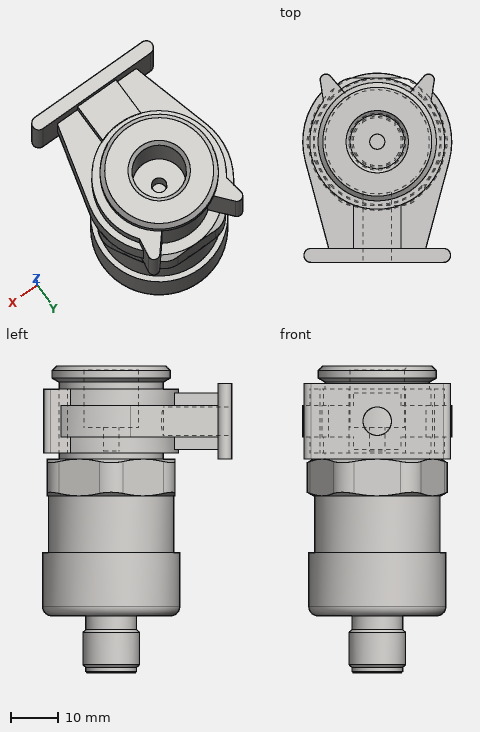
import cadquery as cq
import math

total_height = 64.8

connector_dia = 12.0
connector_neck_dia = 10.77
connector_tip_length = 1.1
connector_end_chamfer = 0.3
connector_lower_bevel = 0.6
connector_upper_z = 8.5
housing_bottom_z = 12.0
connector_bevel = (connector_dia - connector_neck_dia) / 2

housing_dia = 29.0
housing_fillet = 2.0
housing_top_z = 25.35
sleeve_dia = 26.5

hex_sides = 6
hex_bottom_z = 37.35
hex_height = 7.75
hex_top_z = hex_bottom_z + hex_height
hex_across_flats = 27.0
hex_corner_radius = 5.0
hex_bevel_angle = 30.0

stem_dia = 22.0
flange_dia = 25.0
flange_top_bevel = 1.0
flange_rim_height = 1.6
flange_underside_angle = 30.0

bore_dia = 11.45
bore_mouth_dia = 13.16
bore_depth = 13.0
pressure_hole_dia = 3.2
pressure_hole_depth = 5.0

clip_mid_z = 53.1
ring_dia = 28.5
ring_height = 13.5
cheek_dia = 31.5
cheek_height = 6.7
cheek_taper_angle = 15.0
rib_width = 10.0
rib_height = 12.0

plate_width = 31.0
plate_thickness = 3.0
plate_height = 16.0
plate_front_y = -25.5
plate_back_y = plate_front_y + plate_thickness
plate_hole_dia = 6.0

lug_tip_radius = 1.25
lug_outer_root_x = 11.36
lug_outer_angle = 9.2
lug_inner_angle = 40.3
lug_inner_root_x = 5.96


def disc_y(radius, x):
    """Y of the point at the given X on a circle round the Z axis."""
    return math.sqrt(radius ** 2 - x ** 2)


def clip_prism(sketch, height):
    """Extrude an XY outline equally above and below the middle of the clip."""
    return sketch.extrude(height / 2, both=True).translate((0, 0, clip_mid_z))


def make_turned_body():
    flange_top_radius = flange_dia / 2 - flange_top_bevel
    rim_top_z = total_height - flange_top_bevel
    rim_bottom_z = rim_top_z - flange_rim_height
    underside_drop = (flange_dia - stem_dia) / 2 * math.tan(math.radians(flange_underside_angle))
    connector_lower_z = connector_tip_length + connector_lower_bevel
    corner_offset = housing_fillet * (1 - math.sqrt(0.5))
    housing_radius = housing_dia / 2
    return (
        cq.Workplane("XZ")
        .lineTo(connector_neck_dia / 2 - connector_end_chamfer, 0)
        .lineTo(connector_neck_dia / 2, connector_end_chamfer)
        .lineTo(connector_neck_dia / 2, connector_tip_length)
        .lineTo(connector_dia / 2, connector_lower_z)
        .lineTo(connector_dia / 2, connector_upper_z)
        .lineTo(connector_neck_dia / 2, connector_upper_z + connector_bevel)
        .lineTo(connector_neck_dia / 2, housing_bottom_z)
        .lineTo(housing_radius - housing_fillet, housing_bottom_z)
        .threePointArc(
            (housing_radius - corner_offset, housing_bottom_z + corner_offset),
            (housing_radius, housing_bottom_z + housing_fillet),
        )
        .lineTo(housing_radius, housing_top_z)
        .lineTo(sleeve_dia / 2, housing_top_z)
        .lineTo(sleeve_dia / 2, hex_bottom_z)
        .lineTo(stem_dia / 2, hex_bottom_z)
        .lineTo(stem_dia / 2, rim_bottom_z - underside_drop)
        .lineTo(flange_dia / 2, rim_bottom_z)
        .lineTo(flange_dia / 2, rim_top_z)
        .lineTo(flange_top_radius, total_height)
        .lineTo(0, total_height)
        .close()
        .revolve(360, (0, 0, 0), (0, 1, 0))
    )


def make_hexagon():
    """Hexagon with flats facing +Y and -Y, rounded corners and bevelled ends."""
    across_corners = hex_across_flats / math.cos(math.radians(180 / hex_sides))
    prism = (
        cq.Workplane("XY", origin=(0, 0, hex_bottom_z))
        .polygon(hex_sides, across_corners)
        .extrude(hex_height)
        .edges("|Z")
        .fillet(hex_corner_radius)
    )
    end_radius = hex_across_flats / 2
    outer_radius = across_corners / 2
    bevel_height = (outer_radius - end_radius) * math.tan(math.radians(hex_bevel_angle))
    bevel_envelope = (
        cq.Workplane("XZ")
        .moveTo(0, hex_bottom_z)
        .lineTo(end_radius, hex_bottom_z)
        .lineTo(outer_radius, hex_bottom_z + bevel_height)
        .lineTo(outer_radius, hex_top_z - bevel_height)
        .lineTo(end_radius, hex_top_z)
        .lineTo(0, hex_top_z)
        .close()
        .revolve(360, (0, 0, 0), (0, 1, 0))
    )
    return prism.intersect(bevel_envelope)


def make_bore():
    """Bore from the top with a 45 degree mouth and a small hole in its floor."""
    mouth_depth = (bore_mouth_dia - bore_dia) / 2
    floor_z = total_height - bore_depth
    hole_end_z = floor_z - pressure_hole_depth
    return (
        cq.Workplane("XZ")
        .moveTo(0, total_height)
        .lineTo(bore_mouth_dia / 2, total_height)
        .lineTo(bore_dia / 2, total_height - mouth_depth)
        .lineTo(bore_dia / 2, floor_z)
        .lineTo(pressure_hole_dia / 2, floor_z)
        .lineTo(pressure_hole_dia / 2, hole_end_z)
        .lineTo(0, hole_end_z)
        .close()
        .revolve(360, (0, 0, 0), (0, 1, 0))
    )


def lug_apex():
    """Point on the +X side where the two straight sides of a lug would meet."""
    outer_slope = math.tan(math.radians(lug_outer_angle))
    inner_slope = math.tan(math.radians(lug_inner_angle))
    outer_root_y = disc_y(ring_dia / 2, lug_outer_root_x)
    inner_root_y = disc_y(stem_dia / 2, lug_inner_root_x)
    outer_x_at_zero = lug_outer_root_x - outer_slope * outer_root_y
    inner_x_at_zero = lug_inner_root_x - inner_slope * inner_root_y
    apex_y = (outer_x_at_zero - inner_x_at_zero) / (inner_slope - outer_slope)
    return outer_x_at_zero + outer_slope * apex_y, apex_y


def make_cheeks():
    """Disc whose sides run tangentially, tapering, to the plate."""
    radius = cheek_dia / 2
    taper = math.radians(cheek_taper_angle)
    tangent_x = radius * math.cos(taper)
    tangent_y = -radius * math.sin(taper)
    plate_x = tangent_x - (tangent_y - plate_back_y) * math.tan(taper)
    outline = (
        cq.Workplane("XY")
        .moveTo(plate_x, plate_back_y)
        .lineTo(tangent_x, tangent_y)
        .threePointArc((0, radius), (-tangent_x, tangent_y))
        .lineTo(-plate_x, plate_back_y)
        .close()
    )
    return clip_prism(outline, cheek_height)


def make_ring_opening():
    """Wedge between the inner sides of the lugs, where the ring is open."""
    apex_x, apex_y = lug_apex()
    inner_root_y = disc_y(stem_dia / 2, lug_inner_root_x)
    outline = cq.Workplane("XY").polyline(
        [
            (0, 0),
            (lug_inner_root_x, inner_root_y),
            (apex_x, apex_y),
            (-apex_x, apex_y),
            (-lug_inner_root_x, inner_root_y),
        ]
    ).close()
    return clip_prism(outline, ring_height)


def make_lug():
    """Lug on the +X side, with a rounded tip."""
    apex = lug_apex()
    inner_root = (lug_inner_root_x, disc_y(stem_dia / 2, lug_inner_root_x))
    outer_root = (lug_outer_root_x, disc_y(ring_dia / 2, lug_outer_root_x))
    outline = cq.Workplane("XY").polyline([inner_root, outer_root, apex]).close()
    return clip_prism(outline, ring_height).edges("|Z and >Y").fillet(lug_tip_radius)


def make_clip():
    ring = clip_prism(cq.Workplane("XY").circle(ring_dia / 2), ring_height)
    clip = ring.union(make_cheeks()).cut(make_ring_opening())

    lug = make_lug()
    clip = clip.union(lug).union(lug.mirror("YZ"))

    rib_length = -plate_back_y
    rib = cq.Workplane("XY").center(0, plate_back_y / 2).rect(rib_width, rib_length)
    clip = clip.union(clip_prism(rib, rib_height))

    plate_mid_y = (plate_front_y + plate_back_y) / 2
    plate = cq.Workplane("XY").center(0, plate_mid_y).slot2D(plate_width, plate_thickness)
    clip = clip.union(clip_prism(plate, plate_height))

    plate_hole = (
        cq.Workplane("XZ", origin=(0, 0, clip_mid_z))
        .circle(plate_hole_dia / 2)
        .extrude(-plate_front_y)
    )
    stem_hole = clip_prism(cq.Workplane("XY").circle(stem_dia / 2), plate_height)
    return clip.cut(plate_hole).cut(stem_hole)


result = make_turned_body().union(make_hexagon()).union(make_clip()).cut(make_bore())